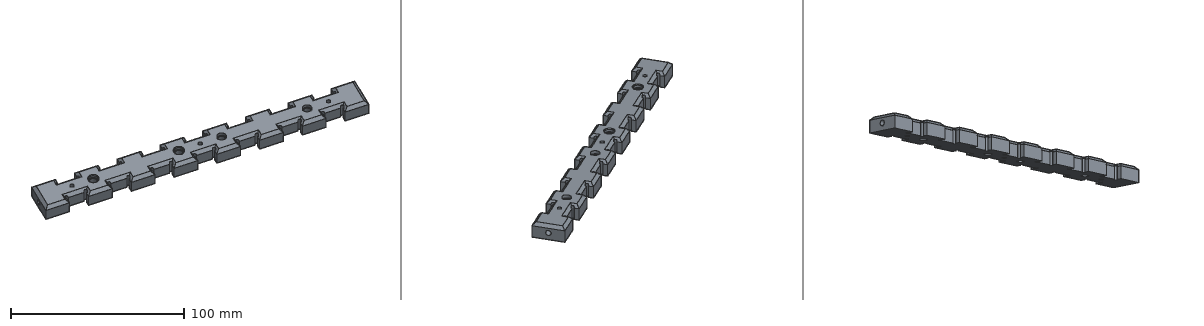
import cadquery as cq
import math

LENGTH = 204.0
WIDTH = 20.0
HEIGHT = 9.5
TOP_CHAMFER = 2.0

NOTCH_COUNT = 7
NOTCH_LENGTH = 12.0
TOOTH_LENGTH = (LENGTH - NOTCH_COUNT * NOTCH_LENGTH) / (NOTCH_COUNT + 1)
NOTCH_PITCH = TOOTH_LENGTH + NOTCH_LENGTH
WEB_WIDTH = 12.0
NOTCH_DEPTH = (WIDTH - WEB_WIDTH) / 2
RELIEF_DIAMETER = 2.0

PIN_HOLE_DIAMETER = 2.5
PIN_HOLE_STEP = 3

SCREW_HOLE_DIAMETER = 4.5
BORE_DIAMETER = 5.5
BORE_DEPTH = 2.0
MOUTH_DIAMETER = 6.5

END_HOLE_DIAMETER = 3.3
END_HOLE_DEPTH = 10.2
END_HOLE_Z = 4.5

DRILL_HALF_ANGLE = math.radians(59)

NOTCH_CENTRES = [(i - (NOTCH_COUNT - 1) / 2) * NOTCH_PITCH for i in range(NOTCH_COUNT)]
PIN_HOLE_CENTRES = NOTCH_CENTRES[::PIN_HOLE_STEP]
PLAIN_BORE_CENTRES = [NOTCH_PITCH / 2, NOTCH_PITCH * 5 / 2]
CHAMFERED_BORE_CENTRES = [-y for y in PLAIN_BORE_CENTRES]


def notched_bar():
    """Bar with rectangular side notches and a chamfer around the whole top outline."""
    notch_x = (WEB_WIDTH + NOTCH_DEPTH) / 2
    notches = [(side * notch_x, y) for side in (-1, 1) for y in NOTCH_CENTRES]
    bar = cq.Workplane("XY").rect(WIDTH, LENGTH).extrude(HEIGHT)
    cutter = cq.Workplane("XY").pushPoints(notches).rect(NOTCH_DEPTH, NOTCH_LENGTH).extrude(HEIGHT)
    return bar.cut(cutter).faces(">Z").chamfer(TOP_CHAMFER)


def full_height_cylinders(diameter, centres):
    """Vertical cylinders through the whole height at the given XY centres."""
    return cq.Workplane("XY").pushPoints(centres).circle(diameter / 2).extrude(HEIGHT)


def corner_reliefs():
    """Round reliefs centred on the inner corners of every notch."""
    corners = [
        (x_side * WEB_WIDTH / 2, notch_y + y_side * NOTCH_LENGTH / 2)
        for notch_y in NOTCH_CENTRES
        for x_side in (-1, 1)
        for y_side in (-1, 1)
    ]
    return full_height_cylinders(RELIEF_DIAMETER, corners)


def pin_holes():
    """Small plain holes on the centreline of the web."""
    return full_height_cylinders(PIN_HOLE_DIAMETER, [(0, y) for y in PIN_HOLE_CENTRES])


def stepped_hole(y):
    """Screw hole with a wider bore at the top and a conical step between the two."""
    screw_radius = SCREW_HOLE_DIAMETER / 2
    bore_radius = BORE_DIAMETER / 2
    bore_bottom = HEIGHT - BORE_DEPTH
    step_height = (bore_radius - screw_radius) / math.tan(DRILL_HALF_ANGLE)
    profile = (
        cq.Workplane("XZ")
        .lineTo(screw_radius, 0)
        .lineTo(screw_radius, bore_bottom - step_height)
        .lineTo(bore_radius, bore_bottom)
        .lineTo(bore_radius, HEIGHT)
        .lineTo(0, HEIGHT)
        .close()
    )
    return profile.revolve(360, (0, 0), (0, 1)).translate((0, y, 0))


def bore_mouth(y):
    """45 degree chamfer at the mouth of a stepped hole."""
    mouth_depth = (MOUTH_DIAMETER - BORE_DIAMETER) / 2
    cone = cq.Solid.makeCone(BORE_DIAMETER / 2, MOUTH_DIAMETER / 2, mouth_depth)
    return cq.Workplane(cone).translate((0, y, HEIGHT - mouth_depth))


def end_hole():
    """Blind hole with a drill-point bottom, entering the -Y end face."""
    radius = END_HOLE_DIAMETER / 2
    tip_length = radius / math.tan(DRILL_HALF_ANGLE)
    profile = (
        cq.Workplane("XY")
        .lineTo(radius, 0)
        .lineTo(radius, END_HOLE_DEPTH)
        .lineTo(0, END_HOLE_DEPTH + tip_length)
        .close()
    )
    return profile.revolve(360, (0, 0), (0, 1)).translate((0, -LENGTH / 2, END_HOLE_Z))


result = notched_bar().cut(corner_reliefs()).cut(pin_holes())
for hole_y in PLAIN_BORE_CENTRES + CHAMFERED_BORE_CENTRES:
    result = result.cut(stepped_hole(hole_y))
for hole_y in CHAMFERED_BORE_CENTRES:
    result = result.cut(bore_mouth(hole_y))
result = result.cut(end_hole()).cut(end_hole().mirror("XZ"))